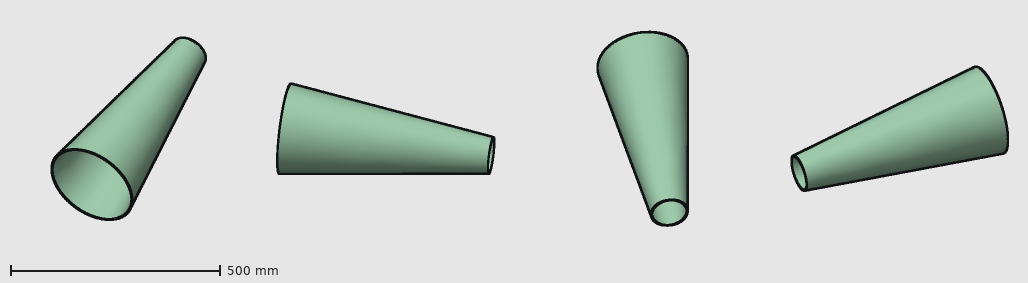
import cadquery as cq

length = 500.0
wide_diameter = 219.0
narrow_diameter = 89.0
wall = 3.0

wide_radius = wide_diameter / 2
narrow_radius = narrow_diameter / 2
wide_end = -length / 2
narrow_end = length / 2

wall_section = (
    cq.Workplane("XY")
    .moveTo(wide_radius - wall, wide_end)
    .lineTo(wide_radius, wide_end)
    .lineTo(narrow_radius, narrow_end)
    .lineTo(narrow_radius - wall, narrow_end)
    .close()
)

result = wall_section.revolve(360, (0, 0, 0), (0, 1, 0))